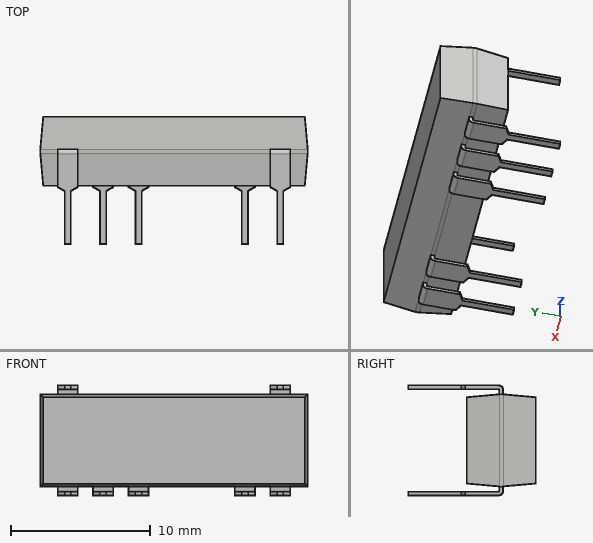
import cadquery as cq


overall_depth = 9.15
lead_span = 7.9

housing_length = 19.18
housing_height = 6.62
taper_inset = 0.21
shell_depth = 2.34

lead_thickness = 0.29
tab_width = 1.45
leg_width = 0.46
tab_reach = 2.57
shoulder_depth = 0.29
bend_outer_radius = 0.33
bend_inner_radius = 0.05

outer_slot = 3
outer_lead_distance = 15.23
top_lead_slots = [-outer_slot, outer_slot]
bottom_lead_slots = [-outer_slot, -2, -1, 2, outer_slot]

band_depth = lead_thickness
lead_pitch = outer_lead_distance / (2 * outer_slot)
half_band = band_depth / 2
leg_reach = overall_depth - half_band - shell_depth
shoulder_end = tab_reach + shoulder_depth
lead_root_z = housing_height / 2
lead_outer_z = lead_span / 2
lead_inner_z = lead_outer_z - lead_thickness


def make_shell(direction):
    """Tapered shell on the +Y (direction 1) or -Y (direction -1) side of the band."""
    return (
        cq.Workplane("XZ", origin=(0, direction * half_band, 0))
        .rect(housing_length, housing_height)
        .workplane(offset=-direction * shell_depth)
        .rect(housing_length - 2 * taper_inset, housing_height - 2 * taper_inset)
        .loft(ruled=True)
    )


def make_housing():
    band = cq.Workplane("XY").box(housing_length, band_depth, housing_height)
    return band.union(make_shell(1)).union(make_shell(-1))


def make_bent_strip():
    """Full-width strip that rises from the top of the band and bends toward -Y."""
    outer_corner = cq.selectors.NearestToPointSelector((0, half_band, lead_outer_z))
    inner_corner = cq.selectors.NearestToPointSelector((0, -half_band, lead_inner_z))
    return (
        cq.Workplane("YZ")
        .moveTo(half_band, lead_root_z)
        .lineTo(half_band, lead_outer_z)
        .lineTo(-leg_reach, lead_outer_z)
        .lineTo(-leg_reach, lead_inner_z)
        .lineTo(-half_band, lead_inner_z)
        .lineTo(-half_band, lead_root_z)
        .close()
        .extrude(tab_width / 2, both=True)
        .edges(outer_corner)
        .fillet(bend_outer_radius)
        .edges(inner_corner)
        .fillet(bend_inner_radius)
    )


def make_lead_outline():
    """Plan shape of a lead, as a prism tall enough to trim the bent strip."""
    right_side = [
        (tab_width / 2, half_band),
        (tab_width / 2, -tab_reach),
        (leg_width / 2, -shoulder_end),
        (leg_width / 2, -leg_reach),
    ]
    left_side = [(-x, y) for x, y in reversed(right_side)]
    return cq.Workplane("XY").polyline(right_side + left_side).close().extrude(lead_outer_z)


def make_lead(slot, on_top):
    lead = make_bent_strip().intersect(make_lead_outline())
    if not on_top:
        lead = lead.mirror("XY")
    return lead.translate((slot * lead_pitch, 0, 0)).solids()


housing = make_housing().solids()

leads = []
for slot in top_lead_slots:
    leads.append(make_lead(slot, on_top=True).val())
for slot in bottom_lead_slots:
    leads.append(make_lead(slot, on_top=False).val())

result = cq.Compound.makeCompound([housing.val(), *leads])